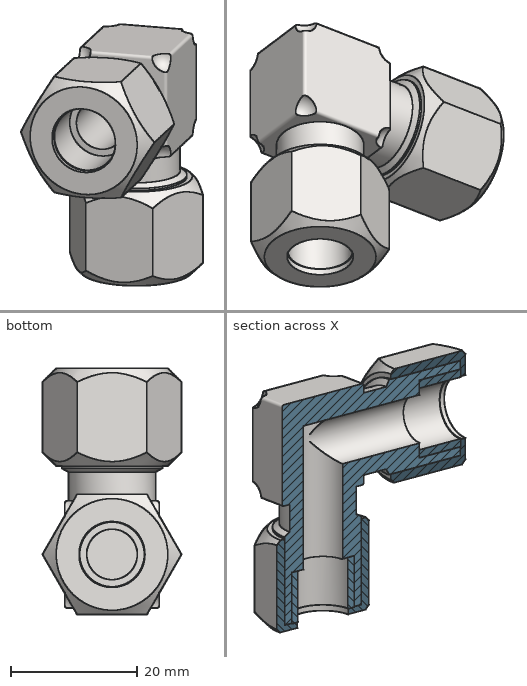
import cadquery as cq
import math


across_corners = 22.05
across_flats = across_corners * math.cos(math.pi / 6)
nut_length = 15.5
nut_face_diameter = 17.7
nut_hole_diameter = 10.45
nut_wall = 1.0

overall_length = 39.05
arm_reach = overall_length - across_flats / 2
nut_start = arm_reach - nut_length
nut_seat = arm_reach - nut_wall

down_angle = 0
front_angle = -90
arm_angles = (down_angle, front_angle)

block_width = 15.05
block_side = 17.03
edge_radius = 0.5
corner_scoop_radius = 2.42
ball_turn = 45

neck_diameter = 13.85
thread_diameter = 16.0
collar_cone_start = 13.05
collar_cone_end = 13.65
bore_diameter = 8.0
socket_bottom = 20.0

sleeve_outer_diameter = 12.9
sleeve_inner_diameter = 10.25


def rod(diameter, start, end):
    """Cylinder on the downward arm axis between two distances from the origin."""
    return cq.Workplane("XY").workplane(offset=-end).circle(diameter / 2).extrude(end - start)


def place_on_arm(shape, angle):
    """Turn a shape built on the downward axis about X onto the arm at this angle."""
    return shape.rotate((0, 0, 0), (1, 0, 0), angle)


def make_block():
    """Rounded forging block with a spherical scoop at each corner."""
    sharp_block = cq.Workplane("XY").box(block_width, block_side, block_side)
    ball = cq.Workplane("XY").sphere(corner_scoop_radius).rotate((0, 0, 0), (0, 0, 1), ball_turn)
    scoops = sharp_block.vertices().eachpoint(ball.val(), combine=False)
    rounded_block = sharp_block.edges().fillet(edge_radius)
    return rounded_block.cut(scoops)


def make_arm():
    """Neck, conical shoulder and threaded end, revolved about the downward axis."""
    neck_radius = neck_diameter / 2
    thread_radius = thread_diameter / 2
    return (
        cq.Workplane("XZ")
        .lineTo(neck_radius, 0)
        .lineTo(neck_radius, -collar_cone_start)
        .lineTo(thread_radius, -collar_cone_end)
        .lineTo(thread_radius, -nut_seat)
        .lineTo(0, -nut_seat)
        .close()
        .revolve(360, (0, 0, 0), (0, 1, 0))
    )


def make_elbow():
    """Block with both arms, the two meeting bores and the sleeve sockets."""
    arm = make_arm()
    socket = rod(sleeve_outer_diameter, socket_bottom, nut_seat)
    vertical_bore = rod(bore_diameter, -bore_diameter / 2, nut_seat)
    front_bore = place_on_arm(rod(bore_diameter, 0, nut_seat), front_angle)
    elbow = make_block()
    for angle in arm_angles:
        elbow = elbow.union(place_on_arm(arm, angle))
    for angle in arm_angles:
        elbow = elbow.cut(place_on_arm(socket, angle))
    return elbow.cut(vertical_bore).cut(front_bore)


def make_nut():
    """Hexagon nut with both ends chamfered at 45 degrees, corners pointing along X."""
    corner_radius = across_corners / 2
    face_radius = nut_face_diameter / 2
    chamfer = corner_radius - face_radius
    hexagon = (
        cq.Workplane("XY").workplane(offset=-arm_reach).polygon(6, across_corners).extrude(nut_length)
    )
    chamfer_envelope = (
        cq.Workplane("XZ")
        .moveTo(0, -nut_start)
        .lineTo(face_radius, -nut_start)
        .lineTo(corner_radius, -nut_start - chamfer)
        .lineTo(corner_radius, -arm_reach + chamfer)
        .lineTo(face_radius, -arm_reach)
        .lineTo(0, -arm_reach)
        .close()
        .revolve(360, (0, 0, 0), (0, 1, 0))
    )
    thread_bore = rod(thread_diameter, nut_start, nut_seat)
    tube_hole = rod(nut_hole_diameter, nut_seat, arm_reach)
    return hexagon.intersect(chamfer_envelope).cut(thread_bore).cut(tube_hole)


def make_sleeve():
    """Sealing sleeve that fills the arm's socket and takes the tube."""
    outside = rod(sleeve_outer_diameter, socket_bottom, nut_seat)
    return outside.cut(rod(sleeve_inner_diameter, socket_bottom, nut_seat))


elbow = make_elbow()
nuts = []
sleeves = []
for angle in arm_angles:
    nuts.append(place_on_arm(make_nut(), angle).val())
    sleeves.append(place_on_arm(make_sleeve(), angle).val())

result = cq.Compound.makeCompound([elbow.val(), *nuts, *sleeves])